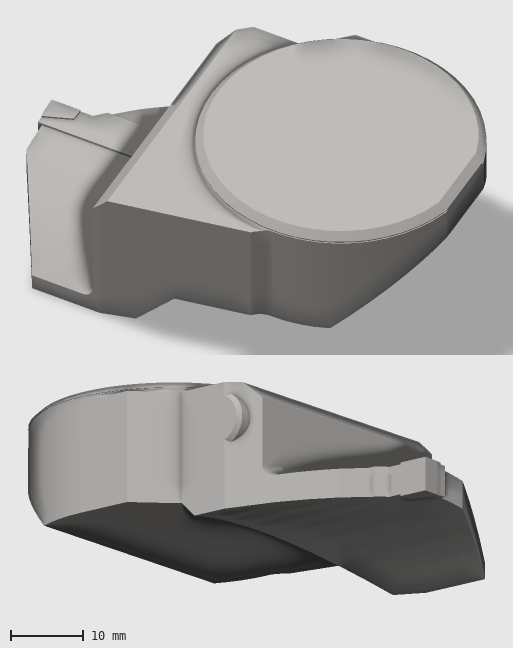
import cadquery as cq


DISC_RADIUS = 20.0
DISC_TOP_RADIUS = 18.9
DISC_CHAMFER_DEPTH = 1.0
GROOVE_RADIUS = 19.9
GROOVE_BOTTOM_Z = -1.35
DISC_FOOT_RADIUS = 20.3
FLAT_X = 19.2
TOP_FLAT_X = 18.1

BODY_TOP_Z = -1.7
BODY_BOTTOM_Z = -17.6
LOWEST_Z = -25.65
WALL_X = -25.3
WALL_CHAMFER = 2.1
FRONT_Y = -25.05
FRONT_CORNER_X = -24.3
SIDE_END = (-2.9, -21.15)
SIDE_BLEND = (-1.9, -20.4)
BACK_Y = 14.9
BACK_LEFT_X = -21.35
BACK_RIGHT_X = -13.45
EAR_X = -8.2
HEEL_X = -13.7
TAIL_CHAMFER = 11.3
DROP = BODY_BOTTOM_Z - LOWEST_Z

BLADE_TIP_X = -44.0
BLADE_CORNER_Y = -9.1
BLADE_FRONT_X = -34.75
UNDER_CREST_Z = -18.0
UNDER_RADIUS = 60.4
UPPER_CREST_Z = -13.85
UPPER_RADIUS = 47.45
ROOT_FILLET = 1.6

SEAT_Z = -13.7
SEAT_FRONT_Y = -4.55
SEAT_NOSE_X = -44.6
SEAT_BACK_Y = 1.5
SEAT_SHOULDER_X = -38.45
SEAT_ROOT_X = -26.3
SEAT_THICKNESS = 1.9
SEAT_CLEARANCE = 1.5
SEAT_WALL_BITE = 0.1
BLADE_BACK_X = -36.5
BACK_KINK = (-33.3, 4.6)

TIP_TOP_Z = -13.45
TIP_BOTTOM_Z = -18.3
TIP_NOSE_X = -44.9
TIP_BACK_X = -40.4
TIP_STEP_Y = -1.9
TIP_EDGE_END = (-44.75, -2.7)
TIP_FRONT_Y = -3.5

PLUG_RADIUS = 4.0
PLUG_X = -20.05
PLUG_Z = -6.85
PLUG_LENGTH = 6.4
PLUG_CHAMFER = 0.6

MARGIN = 12.8


def prism(points, bottom, top):
    """Upright prism with a polygonal outline."""
    return cq.Workplane("XY").workplane(offset=bottom).polyline(points).close().extrude(top - bottom)


def side_prism(points):
    """Prism along Y with an X-Z outline, wider than the whole holder."""
    return cq.Workplane("XZ").polyline(points).close().extrude(2 * abs(FRONT_Y), both=True)


def x_cylinder(crest_z, radius):
    """Cylinder along X whose highest line lies at y = 0 and the given height."""
    start_x = TIP_NOSE_X - MARGIN
    length = FLAT_X + MARGIN - start_x
    return (cq.Workplane("YZ").workplane(offset=start_x)
            .center(0, crest_z - radius).circle(radius).extrude(length))


def make_block():
    """Plan outline of block and blade together, cut to the flat on +X."""
    outline = (
        cq.Workplane("XY").workplane(offset=LOWEST_Z)
        .moveTo(0, DISC_RADIUS)
        .lineTo(EAR_X, DISC_RADIUS)
        .lineTo(BACK_RIGHT_X, BACK_Y)
        .lineTo(BACK_LEFT_X, BACK_Y)
        .lineTo(*BACK_KINK)
        .lineTo(BLADE_BACK_X, SEAT_BACK_Y)
        .lineTo(SEAT_SHOULDER_X + SEAT_BACK_Y, SEAT_BACK_Y)
        .lineTo(SEAT_SHOULDER_X, 0)
        .lineTo(SEAT_NOSE_X, 0)
        .lineTo(SEAT_NOSE_X, SEAT_FRONT_Y)
        .lineTo(BLADE_TIP_X, SEAT_FRONT_Y)
        .lineTo(BLADE_TIP_X, BLADE_CORNER_Y)
        .lineTo(BLADE_FRONT_X, FRONT_Y)
        .lineTo(FRONT_CORNER_X, FRONT_Y)
        .lineTo(*SIDE_END)
        .threePointArc(SIDE_BLEND, (0, -DISC_RADIUS))
        .threePointArc((DISC_RADIUS, 0), (0, DISC_RADIUS))
        .close()
    )
    return outline.extrude(BODY_TOP_Z - LOWEST_Z)


def underside_cut():
    """Flat bottom of the block with a slope at the heel and at the tail."""
    tail_x = FLAT_X + MARGIN
    return side_prism([
        (HEEL_X, BODY_BOTTOM_Z),
        (FLAT_X - TAIL_CHAMFER, BODY_BOTTOM_Z),
        (tail_x, BODY_BOTTOM_Z + TAIL_CHAMFER + MARGIN),
        (tail_x, LOWEST_Z),
        (HEEL_X - DROP, LOWEST_Z),
    ])


def arch_cut():
    """Arched underside, running along X."""
    return x_cylinder(UNDER_CREST_Z, UNDER_RADIUS)


def blade_cut():
    """Space above the blade: arched floor, rounded root and a flat seat."""
    space = side_prism([
        (TIP_NOSE_X - MARGIN, LOWEST_Z),
        (WALL_X, LOWEST_Z),
        (WALL_X, 0),
        (TIP_NOSE_X - MARGIN, 0),
    ])
    space = space.cut(x_cylinder(UPPER_CREST_Z, UPPER_RADIUS))
    root_edges = space.faces(">X").edges("%CIRCLE")
    space = root_edges.fillet(ROOT_FILLET)
    seat = [
        (TIP_NOSE_X - MARGIN, SEAT_FRONT_Y),
        (WALL_X + SEAT_WALL_BITE, SEAT_FRONT_Y),
        (WALL_X + SEAT_WALL_BITE, 0),
        (SEAT_ROOT_X, 0),
        (SEAT_ROOT_X - SEAT_BACK_Y, SEAT_BACK_Y),
        (SEAT_SHOULDER_X + SEAT_BACK_Y, SEAT_BACK_Y),
        (SEAT_SHOULDER_X, 0),
        (TIP_NOSE_X - MARGIN, 0),
    ]
    space = space.cut(prism(seat, SEAT_Z - SEAT_THICKNESS, SEAT_Z))
    return space.union(prism(seat, SEAT_Z, SEAT_Z + SEAT_CLEARANCE))


def wall_chamfer_cut():
    """Sloped upper edge of the upright wall."""
    return side_prism([
        (WALL_X, BODY_TOP_Z - WALL_CHAMFER),
        (WALL_X + WALL_CHAMFER, BODY_TOP_Z),
        (WALL_X, BODY_TOP_Z),
    ])


def make_disc():
    """Chamfered disc with a shallow groove and a flared foot."""
    return (
        cq.Workplane("XZ")
        .moveTo(0, 0)
        .lineTo(DISC_TOP_RADIUS, 0)
        .lineTo(DISC_RADIUS, -DISC_CHAMFER_DEPTH)
        .lineTo(GROOVE_RADIUS, -DISC_CHAMFER_DEPTH)
        .lineTo(GROOVE_RADIUS, GROOVE_BOTTOM_Z)
        .lineTo(DISC_RADIUS, GROOVE_BOTTOM_Z)
        .lineTo(DISC_FOOT_RADIUS, BODY_TOP_Z)
        .lineTo(0, BODY_TOP_Z)
        .close()
        .revolve(360, (0, 0, 0), (0, 1, 0))
    )


def trim_disc(disc):
    """Keep the flared foot only where the block lies beneath it."""
    foot_limit = make_block().translate((0, 0, -BODY_TOP_Z))
    core = cq.Workplane("XY").workplane(offset=BODY_TOP_Z).circle(DISC_RADIUS).extrude(-BODY_TOP_Z)
    return disc.intersect(foot_limit.union(core))


def flat_cut():
    """Flat on +X, chamfered at the disc's upper edge."""
    return side_prism([
        (TOP_FLAT_X, 0),
        (FLAT_X, -DISC_CHAMFER_DEPTH),
        (FLAT_X, LOWEST_Z),
        (FLAT_X + MARGIN, LOWEST_Z),
        (FLAT_X + MARGIN, 0),
    ])


def make_plug():
    """Round plug along Y, its chamfered end level with the back face."""
    plug = (cq.Workplane("XZ", origin=(PLUG_X, BACK_Y, PLUG_Z))
            .circle(PLUG_RADIUS).extrude(PLUG_LENGTH))
    return plug.faces(">Y").chamfer(PLUG_CHAMFER)


def make_tip():
    """Cutting tip set into the nose of the blade."""
    outline = [
        (TIP_NOSE_X, 0),
        (TIP_BACK_X, 0),
        (TIP_BACK_X, TIP_STEP_Y),
        (SEAT_NOSE_X, TIP_FRONT_Y),
        TIP_EDGE_END,
    ]
    return prism(outline, TIP_BOTTOM_Z, TIP_TOP_Z)


def make_holder(tip):
    block = make_block()
    for cutter in (underside_cut(), arch_cut(), blade_cut(), wall_chamfer_cut()):
        block = block.cut(cutter)
    holder = block.union(trim_disc(make_disc())).cut(flat_cut())
    return holder.union(make_plug()).cut(tip)


cutting_tip = make_tip()
holder = make_holder(cutting_tip)

result = cq.Compound.makeCompound([*holder.solids().vals(), *cutting_tip.solids().vals()])